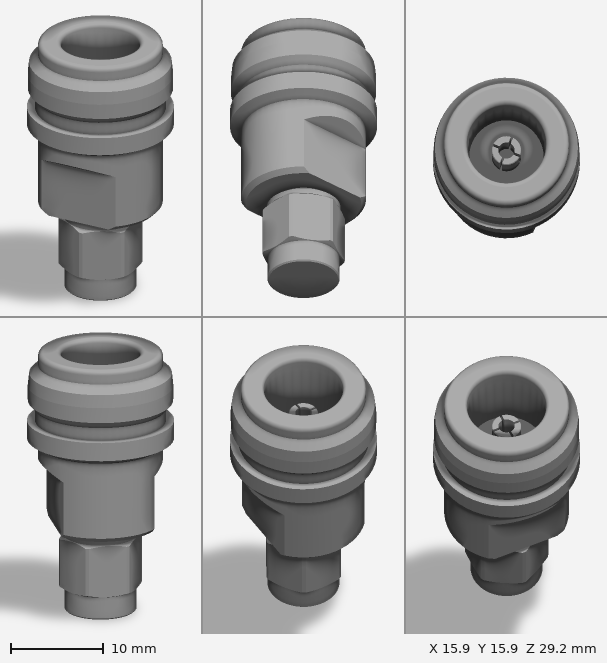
import cadquery as cq
import math

total_height = 29.25

rim_radius = 6.73
rim_fillet = 0.53
rim_bottom = 27.7
shoulder_radius = 7.7
shoulder_bottom = 26.82
sleeve_radius = 7.85
sleeve_taper_bottom = 25.4
sleeve_bottom = 23.7
groove_radius = 7.08
groove_top = 22.87
groove_bottom = 21.45
collar_radius = 7.93
collar_bottom = 19.4
collar_cone_bottom = 18.72

body_radius = rim_radius
body_bottom = 9.65
body_chamfer = 0.53
flat_half_width = 5.0
flat_top = 16.12
flat_runout_top = 17.15

neck_radius = 3.28
neck_undercut_radius = 3.25
neck_undercut_bottom = 9.48
nut_top = 9.1

nut_collar_radius = 4.0
hex_top = 8.48
hex_bottom = 2.55
hex_across_flats = 2 * nut_collar_radius
hex_corner_radius = 4.5
hex_crown_height = 0.3
nut_skirt_radius = 3.9
skirt_chamfer = 0.15

socket_top_radius = 4.27
socket_floor_radius = 4.0
socket_fillet = 0.53
socket_depth = 7.6

contact_radius = 1.58
contact_bore_radius = 0.88
contact_recess = 3.95
contact_chamfer = 0.1
slot_width = 0.25


def revolve_profile(points):
    """Turn a closed (radius, height) outline about the Z axis."""
    return cq.Workplane("XZ").polyline(points).close().revolve(360, (0, 0, 0), (0, 1, 0))


def make_female_end():
    """Turned body with its rim, sleeve, groove and collar."""
    body = revolve_profile([
        (0, body_bottom),
        (body_radius - body_chamfer, body_bottom),
        (body_radius, body_bottom + body_chamfer),
        (body_radius, collar_cone_bottom),
        (collar_radius, collar_bottom),
        (collar_radius, groove_bottom),
        (groove_radius, groove_bottom),
        (groove_radius, groove_top),
        (sleeve_radius, sleeve_bottom),
        (sleeve_radius, sleeve_taper_bottom),
        (shoulder_radius, shoulder_bottom),
        (rim_radius, rim_bottom),
        (rim_radius, total_height),
        (0, total_height),
    ])
    return body.faces(">Z").edges().fillet(rim_fillet)


def make_flat_cutter():
    """Wedge-topped block that removes one wrench flat on the -Y side."""
    return (
        cq.Workplane("YZ")
        .polyline([
            (-flat_half_width, body_bottom),
            (-flat_half_width, flat_top),
            (-body_radius, flat_runout_top),
            (-collar_radius, flat_runout_top),
            (-collar_radius, body_bottom),
        ])
        .close()
        .extrude(body_radius, both=True)
    )


def make_socket():
    """Tapered socket with a rounded mouth."""
    mouth_radius = socket_top_radius + socket_fillet
    fillet_bottom = total_height - socket_fillet
    floor = total_height - socket_depth
    arc_offset = socket_fillet * math.sqrt(0.5)
    return (
        cq.Workplane("XZ")
        .moveTo(0, total_height)
        .lineTo(mouth_radius, total_height)
        .threePointArc(
            (mouth_radius - arc_offset, fillet_bottom + arc_offset),
            (socket_top_radius, fillet_bottom),
        )
        .lineTo(socket_floor_radius, floor)
        .lineTo(0, floor)
        .close()
        .revolve(360, (0, 0, 0), (0, 1, 0))
    )


def make_contact():
    """Bored centre contact split into four fingers by crossed slots down to the socket floor."""
    floor = total_height - socket_depth
    height = socket_depth - contact_recess
    contact = (
        cq.Workplane("XY")
        .workplane(offset=floor)
        .circle(contact_radius)
        .extrude(height)
        .faces(">Z")
        .chamfer(contact_chamfer)
    )
    bore = cq.Workplane("XY").workplane(offset=floor).circle(contact_bore_radius).extrude(height)
    contact = contact.cut(bore)
    slot = (
        cq.Workplane("XY")
        .workplane(offset=floor)
        .rect(2 * contact_radius, slot_width)
        .extrude(height)
    )
    for angle in (0, 90):
        contact = contact.cut(slot.rotate((0, 0, 0), (0, 0, 1), angle))
    return contact


def make_nut():
    """Coupling nut with round collar, crowned hexagon and plain skirt, and the neck above it."""
    hex_prism = (
        cq.Workplane("XY")
        .workplane(offset=hex_bottom)
        .polygon(6, hex_across_flats / math.cos(math.pi / 6))
        .extrude(hex_top - hex_bottom)
        .rotate((0, 0, 0), (0, 0, 1), 30)
    )
    crown = revolve_profile([
        (0, hex_bottom),
        (nut_skirt_radius, hex_bottom),
        (hex_corner_radius, hex_bottom + hex_crown_height),
        (hex_corner_radius, hex_top - hex_crown_height),
        (nut_skirt_radius, hex_top),
        (0, hex_top),
    ])
    turned = revolve_profile([
        (0, 0),
        (nut_skirt_radius - skirt_chamfer, 0),
        (nut_skirt_radius, skirt_chamfer),
        (nut_skirt_radius, hex_top),
        (nut_collar_radius, hex_top),
        (nut_collar_radius, nut_top),
        (neck_radius, nut_top),
        (neck_radius, neck_undercut_bottom),
        (neck_undercut_radius, neck_undercut_bottom),
        (neck_undercut_radius, body_bottom),
        (0, body_bottom),
    ])
    return hex_prism.intersect(crown).union(turned)


flat_cutter = make_flat_cutter()
result = (
    make_female_end()
    .cut(flat_cutter)
    .cut(flat_cutter.mirror("XZ"))
    .cut(make_socket())
    .union(make_contact())
    .union(make_nut())
)